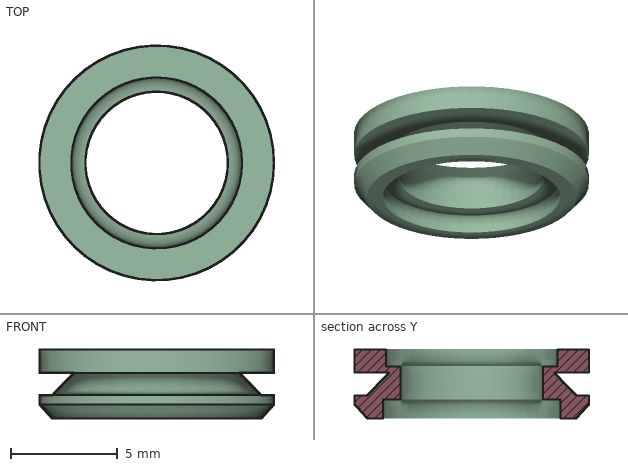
import cadquery as cq

outer_radius = 11.0 / 2
total_height = 3.24

bottom_radius = 4.9
bevel_height = 0.66
lower_rim_height = 0.43
upper_flange_height = 1.1
neck_top_radius = 3.88
neck_bottom_radius = bottom_radius

lower_rim_bottom = bevel_height
lower_rim_top = lower_rim_bottom + lower_rim_height
upper_flange_bottom = total_height - upper_flange_height

bore_radius = 6.66 / 2
top_counterbore_radius = 8.0 / 2
top_counterbore_depth = 0.8
bottom_counterbore_radius = 8.3 / 2
bottom_counterbore_depth = 0.87

top_counterbore_floor = total_height - top_counterbore_depth


def outer_body():
    """Solid of revolution with a slanted groove between rim and flange."""
    half_section = (
        cq.Workplane("XZ")
        .moveTo(0, 0)
        .lineTo(bottom_radius, 0)
        .lineTo(outer_radius, lower_rim_bottom)
        .lineTo(outer_radius, lower_rim_top)
        .lineTo(neck_bottom_radius, lower_rim_top)
        .lineTo(neck_top_radius, upper_flange_bottom)
        .lineTo(outer_radius, upper_flange_bottom)
        .lineTo(outer_radius, total_height)
        .lineTo(0, total_height)
        .close()
    )
    return half_section.revolve(360, (0, 0, 0), (0, 1, 0))


def round_cutter(radius, bottom, height):
    """Cylinder on the ring axis, rising from the given height."""
    return cq.Workplane("XY").workplane(offset=bottom).circle(radius).extrude(height)


def stepped_bore():
    """Through bore widened by the top and bottom counterbores."""
    bore = round_cutter(bore_radius, 0, total_height)
    top = round_cutter(top_counterbore_radius, top_counterbore_floor, top_counterbore_depth)
    bottom = round_cutter(bottom_counterbore_radius, 0, bottom_counterbore_depth)
    return bore.union(top).union(bottom)


result = outer_body().cut(stepped_bore())